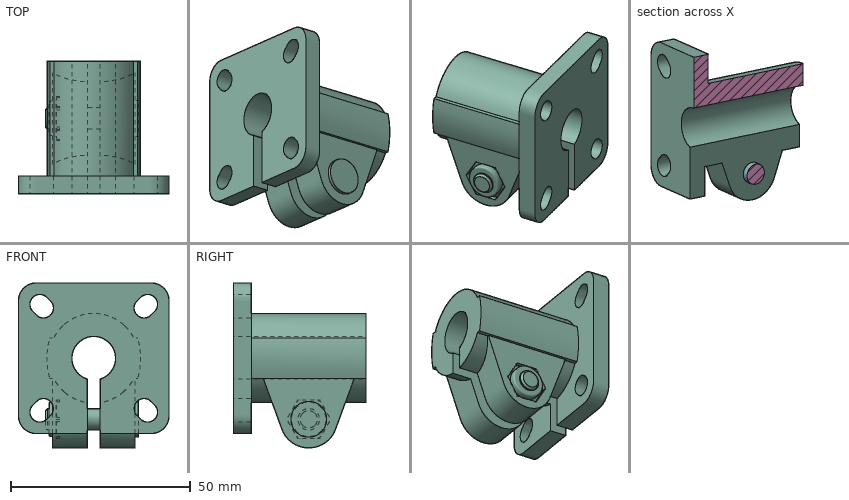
import cadquery as cq
import math


flange_size = 42.0
flange_thickness = 5.0
flange_corner_radius = 5.0

mount_slot_diameter = 5.5
mount_slot_inner_offset = 14.0
mount_slot_outer_offset = 15.0
mount_slot_angle = 45.0

total_length = 37.0
barrel_radius = 12.5
bore_diameter = 12.1
clamp_gap = 3.5

pad_half_height = 5.7
pad_crown_x = 13.05
pad_edge_x = 12.25

ear_half_width = 11.5
ear_end_radius = 8.0
ear_taper_angle = math.radians(20.0)
bolt_y = (flange_thickness + total_length) / 2
bolt_z = -17.0

bolt_diameter = 6.0
bolt_tip_x = -13.5
bolt_tip_chamfer = 0.6
bolt_head_diameter = 10.0
bolt_head_projection = 0.95

nut_across_flats = 10.65
nut_pocket_depth = 2.0
nut_collar_diameter = 9.6
nut_collar_projection = 0.95
nut_collar_fillet = 0.5
nut_cone_small_diameter = 9.98
nut_cone_large_diameter = 11.7
nut_cone_angle = math.radians(15.0)
nut_cone_recess = 1.0


def xz_plane(y):
    """Sketch plane at the given Y, X right and Z up; negative extrusion runs toward +Y."""
    return cq.Workplane(cq.Plane(origin=(0, y, 0), xDir=(1, 0, 0), normal=(0, -1, 0)))


def bolt_plane(x):
    """Sketch plane centred on the bolt axis; extrusion runs toward +X."""
    return cq.Workplane(cq.Plane(origin=(x, bolt_y, bolt_z), xDir=(0, 1, 0), normal=(1, 0, 0)))


def make_flange():
    plate = xz_plane(0).rect(flange_size, flange_size).extrude(-flange_thickness)
    return plate.edges("|Y").fillet(flange_corner_radius)


def make_barrel():
    barrel = xz_plane(0).circle(barrel_radius).extrude(-total_length)
    pads = (
        xz_plane(0)
        .moveTo(-pad_edge_x, -pad_half_height)
        .lineTo(pad_edge_x, -pad_half_height)
        .threePointArc((pad_crown_x, 0), (pad_edge_x, pad_half_height))
        .lineTo(-pad_edge_x, pad_half_height)
        .threePointArc((-pad_crown_x, 0), (-pad_edge_x, -pad_half_height))
        .close()
        .extrude(-total_length)
    )
    return barrel.union(pads)


def make_ears():
    """Tapered block with a rounded end; the clamp gap later splits it into two ears."""
    height = -pad_half_height - bolt_z
    tangent_y = ear_end_radius * math.cos(ear_taper_angle)
    tangent_z = -ear_end_radius * math.sin(ear_taper_angle)
    top_y = tangent_y + (height - tangent_z) * math.tan(ear_taper_angle)
    return (
        bolt_plane(-ear_half_width)
        .moveTo(-top_y, height)
        .lineTo(-tangent_y, tangent_z)
        .threePointArc((0, -ear_end_radius), (tangent_y, tangent_z))
        .lineTo(top_y, height)
        .close()
        .extrude(2 * ear_half_width)
    )


def make_bore_and_gap():
    bore = xz_plane(0).circle(bore_diameter / 2).extrude(-total_length)
    gap = xz_plane(0).center(0, -flange_size / 2).rect(clamp_gap, flange_size).extrude(-total_length)
    return bore.union(gap)


def make_mount_slots():
    middle = (mount_slot_inner_offset + mount_slot_outer_offset) / 2
    center_spacing = math.sqrt(2) * (mount_slot_outer_offset - mount_slot_inner_offset)
    slot_length = center_spacing + mount_slot_diameter
    slots = cq.Workplane("XY")
    for side_x in (-1, 1):
        for side_z in (-1, 1):
            slot = (
                xz_plane(0)
                .center(side_x * middle, side_z * middle)
                .slot2D(slot_length, mount_slot_diameter, side_x * side_z * mount_slot_angle)
                .extrude(-flange_thickness)
            )
            slots = slots.add(slot)
    return slots.combine()


def make_nut_pocket():
    across_corners = nut_across_flats / math.cos(math.pi / 6)
    return bolt_plane(-ear_half_width).polygon(6, across_corners).extrude(nut_pocket_depth)


def make_nut():
    """Coned nut body trimmed to the hexagonal pocket, plus its round projecting collar."""
    small_radius = nut_cone_small_diameter / 2
    large_radius = nut_cone_large_diameter / 2
    cone_drop = (large_radius - small_radius) * math.tan(nut_cone_angle)
    body = (
        cq.Workplane("XY")
        .moveTo(nut_cone_recess, 0)
        .lineTo(nut_cone_recess, small_radius)
        .lineTo(nut_cone_recess + cone_drop, large_radius)
        .lineTo(nut_pocket_depth, large_radius)
        .lineTo(nut_pocket_depth, 0)
        .close()
        .revolve(360, (0, 0, 0), (1, 0, 0))
        .translate((-ear_half_width, bolt_y, bolt_z))
        .intersect(make_nut_pocket())
    )
    collar = (
        bolt_plane(-ear_half_width - nut_collar_projection)
        .circle(nut_collar_diameter / 2)
        .extrude(nut_collar_projection + nut_pocket_depth)
        .faces("<X")
        .edges()
        .fillet(nut_collar_fillet)
    )
    return body.union(collar)


def make_bolt():
    head_end_x = ear_half_width + bolt_head_projection
    shank = (
        bolt_plane(bolt_tip_x)
        .circle(bolt_diameter / 2)
        .extrude(head_end_x - bolt_tip_x)
        .faces("<X")
        .chamfer(bolt_tip_chamfer)
    )
    head = bolt_plane(ear_half_width).circle(bolt_head_diameter / 2).extrude(bolt_head_projection)
    return shank.union(head)


bracket = make_flange().union(make_barrel()).union(make_ears())
bracket = bracket.cut(make_bore_and_gap()).cut(make_mount_slots()).cut(make_nut_pocket())
result = bracket.union(make_nut()).union(make_bolt())